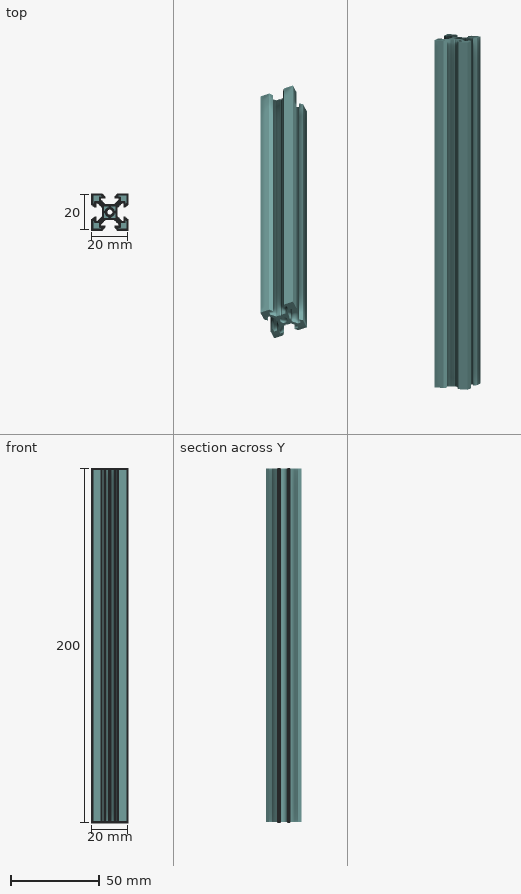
import cadquery as cq

SIDE = 20.0
LENGTH = 200.0
BORE_DIAMETER = 4.2

THROAT_WIDTH = 6.25
MOUTH_WIDTH = 9.16
CAVITY_WIDTH = 11.0
LIP_THICKNESS = 1.8
CORE_WIDTH = 7.8
WEB_THICKNESS = 1.5

GROOVE_DEPTH = 0.5

CUT_OVERLAP = 1.0


def slot_cutter():
    """Solid that clears the slot and its V-groove on the +Y side."""
    face = SIDE / 2
    core = CORE_WIDTH / 2
    mouth = MOUTH_WIDTH / 2
    throat = THROAT_WIDTH / 2
    cavity = CAVITY_WIDTH / 2
    lip_inside = face - LIP_THICKNESS
    web_offset = WEB_THICKNESS / 2 * 2 ** 0.5

    groove_bottom = (0, core - GROOVE_DEPTH)
    right_half = [
        (GROOVE_DEPTH, core),
        (core - web_offset, core),
        (cavity, cavity + web_offset),
        (cavity, lip_inside),
        (throat, lip_inside),
        (mouth, face),
        (mouth, face + CUT_OVERLAP),
    ]
    left_half = [(-x, y) for x, y in reversed(right_half)]
    outline = [groove_bottom] + right_half + left_half
    return cq.Workplane("XY").polyline(outline).close().extrude(LENGTH)


def build_profile():
    """Square bar with a centre bore and a slot cut into each side."""
    bar = cq.Workplane("XY").rect(SIDE, SIDE).circle(BORE_DIAMETER / 2).extrude(LENGTH)
    cutter = slot_cutter()
    for angle in (0, 90, 180, 270):
        bar = bar.cut(cutter.rotate((0, 0, 0), (0, 0, 1), angle))
    return bar


result = build_profile()